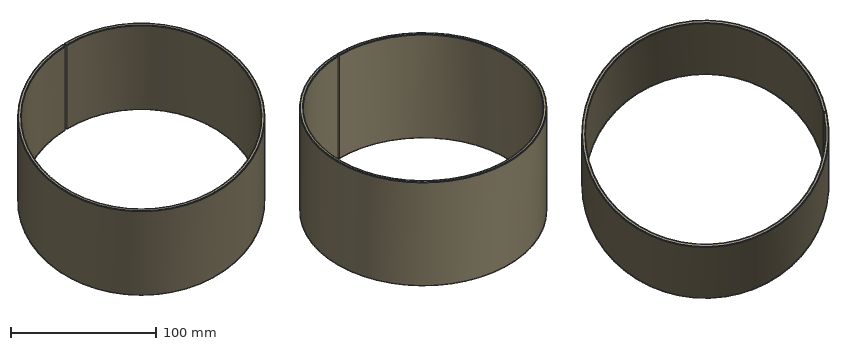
import cadquery as cq

outer_diameter = 170.0
wall = 2.5
height = 90.0
gap_angle = 1.0
edge_chamfer = 0.5

outer_radius = outer_diameter / 2
mid_wall_radius = outer_radius - wall / 2


def wall_section():
    """Wall cross-section on the -X side, with all four corners chamfered."""
    half_wall = wall / 2
    half_height = height / 2
    flat_half_wall = half_wall - edge_chamfer
    flat_half_height = half_height - edge_chamfer
    corners = [
        (-half_wall, -flat_half_height),
        (-flat_half_wall, -half_height),
        (flat_half_wall, -half_height),
        (half_wall, -flat_half_height),
        (half_wall, flat_half_height),
        (flat_half_wall, half_height),
        (-flat_half_wall, half_height),
        (-half_wall, flat_half_height),
    ]
    return cq.Workplane("XZ", origin=(-mid_wall_radius, 0, 0)).polyline(corners).close()


axis_start = (mid_wall_radius, 0)
axis_end = (mid_wall_radius, 1)
result = wall_section().revolve(360 - gap_angle, axis_start, axis_end)